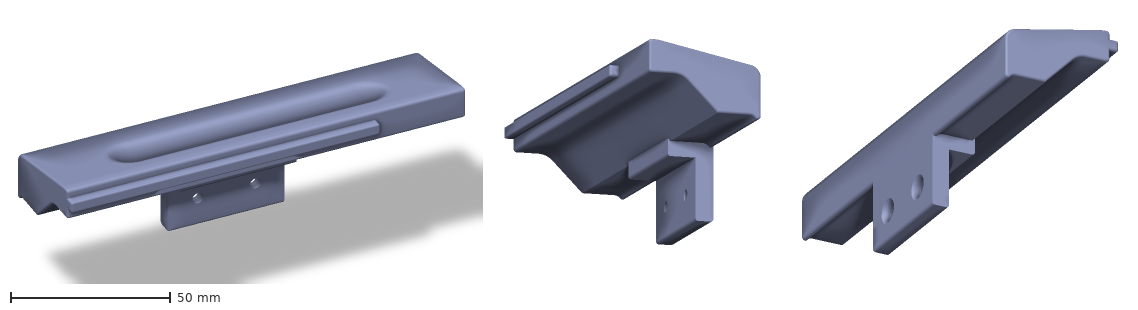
import cadquery as cq
import math

BAR_LENGTH = 138.5
BAR_WIDTH = 37.0
BAR_TOP = 47.5
BACK_TOP = 40.5
FOLD_X = 34.5
NOSE_BOTTOM = 36.8
NOSE_START = 26.0
BASE_BOTTOM = 25.0
LIP_BOTTOM = 23.8
LIP_WIDTH = 1.4

BACK_RADIUS = 4.0
FOLD_RADIUS = 13.8
UNDERSIDE_RADIUS = 6.9
LIP_RADIUS = 2.8
EDGE_RADIUS = 1.0
END_RADIUS = 0.75

TONGUE_BOTTOM = 41.0
TONGUE_TOP = 44.7
TONGUE_REACH = 40.0
TONGUE_END_Y = 38.2
TONGUE_EDGE_RADIUS = 0.5

CENTRE_Y = 0.7

BRACKET_LENGTH = 40.2
LEG_THICKNESS = 6.0
LEDGE_WIDTH = 15.1
LEDGE_BOTTOM = 20.2
OVERLAP = 1.0

HOLE_DIAMETER = 3.7
SINK_DIAMETER = 8.3
SINK_ANGLE = 90.0
HOLE_SPACING = 20.1
HOLE_HEIGHT = 10.0

GROOVE_X = 21.5
GROOVE_STRAIGHT = 80.3
FLOOR_RADIUS = 15.0
FLOOR_HALF_WIDTH = 7.0
RIM_RADIUS = 5.0


def round_edge(solid, x, z, radius):
    """Round the edge along Y that passes nearest to (x, z)."""
    return solid.edges("|Y").edges(cq.selectors.NearestToPointSelector((x, 0, z))).fillet(radius)


def make_bar():
    base_end = NOSE_START - (NOSE_BOTTOM - BASE_BOTTOM)
    lip_end = LIP_WIDTH + BASE_BOTTOM - LIP_BOTTOM
    bar = (
        cq.Workplane("XZ")
        .polyline([
            (0, LIP_BOTTOM),
            (LIP_WIDTH, LIP_BOTTOM),
            (lip_end, BASE_BOTTOM),
            (base_end, BASE_BOTTOM),
            (NOSE_START, NOSE_BOTTOM),
            (BAR_WIDTH, NOSE_BOTTOM),
            (BAR_WIDTH, BAR_TOP),
            (FOLD_X, BAR_TOP),
            (0, BACK_TOP),
        ])
        .close()
        .extrude(BAR_LENGTH / 2, both=True)
    )
    for x, z, radius in [
        (0, BACK_TOP, BACK_RADIUS),
        (FOLD_X, BAR_TOP, FOLD_RADIUS),
        (NOSE_START, NOSE_BOTTOM, UNDERSIDE_RADIUS),
        (lip_end, BASE_BOTTOM, LIP_RADIUS),
        (0, LIP_BOTTOM, EDGE_RADIUS),
        (BAR_WIDTH, NOSE_BOTTOM, EDGE_RADIUS),
        (BAR_WIDTH, BAR_TOP, EDGE_RADIUS),
    ]:
        bar = round_edge(bar, x, z, radius)
    return bar


def make_tongue():
    root_x = BAR_WIDTH - OVERLAP
    tongue = cq.Workplane("XY").box(
        TONGUE_REACH - root_x,
        TONGUE_END_Y + BAR_LENGTH / 2,
        TONGUE_TOP - TONGUE_BOTTOM,
        centered=False,
    ).translate((root_x, -BAR_LENGTH / 2, TONGUE_BOTTOM))
    tongue = tongue.faces(">Y").edges("not <X").fillet(EDGE_RADIUS)
    return tongue.edges("|Y and >X").fillet(TONGUE_EDGE_RADIUS)


def make_bracket():
    underside_z = NOSE_BOTTOM - (NOSE_START - LEDGE_WIDTH)
    bracket = (
        cq.Workplane("XZ")
        .polyline([
            (0, 0),
            (LEG_THICKNESS, 0),
            (LEG_THICKNESS, LEDGE_BOTTOM),
            (LEDGE_WIDTH, LEDGE_BOTTOM),
            (LEDGE_WIDTH, underside_z),
            (LEDGE_WIDTH - OVERLAP, BASE_BOTTOM + OVERLAP),
            (0, BASE_BOTTOM + OVERLAP),
        ])
        .close()
        .extrude(BRACKET_LENGTH / 2, both=True)
    )
    for x, z in [(0, 0), (LEG_THICKNESS, 0), (LEDGE_WIDTH, LEDGE_BOTTOM)]:
        bracket = round_edge(bracket, x, z, EDGE_RADIUS)
    return bracket.translate((0, CENTRE_Y, 0))


def drill_holes(solid):
    """Screw holes through the leg, countersunk from the back face."""
    back_plane = cq.Plane(origin=(0, CENTRE_Y, HOLE_HEIGHT), xDir=(0, -1, 0), normal=(-1, 0, 0))
    return (
        cq.Workplane(back_plane)
        .add(solid)
        .pushPoints([(-HOLE_SPACING / 2, 0), (HOLE_SPACING / 2, 0)])
        .cskHole(HOLE_DIAMETER, SINK_DIAMETER, SINK_ANGLE)
    )


def make_groove():
    """Cutter with an arc floor and a rounded-over rim, its ends dished by revolving the section."""
    slope = math.atan2(BAR_TOP - BACK_TOP, FOLD_X)
    rim_angle = math.asin(FLOOR_HALF_WIDTH / FLOOR_RADIUS)
    rim_depth = RIM_RADIUS * (1 - math.cos(rim_angle))
    rim_half_width = FLOOR_HALF_WIDTH + RIM_RADIUS * math.sin(rim_angle)
    rim_middle = (
        rim_half_width - RIM_RADIUS * math.sin(rim_angle / 2),
        -RIM_RADIUS * (1 - math.cos(rim_angle / 2)),
    )
    depth = rim_depth + FLOOR_RADIUS * (1 - math.cos(rim_angle))
    floor_middle = (
        FLOOR_RADIUS * math.sin(rim_angle / 2),
        FLOOR_RADIUS * (1 - math.cos(rim_angle / 2)) - depth,
    )

    surface_plane = cq.Plane(
        origin=(GROOVE_X, CENTRE_Y, BACK_TOP + GROOVE_X * math.tan(slope)),
        xDir=(math.cos(slope), 0, math.sin(slope)),
        normal=(0, -1, 0),
    )
    half_section = cq.Sketch().face(
        cq.Workplane("XY")
        .moveTo(0, -depth)
        .threePointArc(floor_middle, (FLOOR_HALF_WIDTH, -rim_depth))
        .threePointArc(rim_middle, (rim_half_width, 0))
        .lineTo(0, 0)
        .close()
        .val()
    )
    section = cq.Workplane(surface_plane).placeSketch(half_section)
    end = section.revolve(360, (0, 0), (0, 1))
    half_trough = section.extrude(GROOVE_STRAIGHT / 2, both=True)
    axis_point = surface_plane.origin
    trough = half_trough.union(
        half_trough.rotate(axis_point.toTuple(), (axis_point + surface_plane.yDir).toTuple(), 180)
    )
    for side in (-1, 1):
        trough = trough.union(end.translate((0, side * GROOVE_STRAIGHT / 2, 0)))
    return trough


bar = make_bar().union(make_tongue())
bar = bar.faces("<Y or >Y").edges().fillet(END_RADIUS)
result = drill_holes(bar.union(make_bracket())).cut(make_groove())